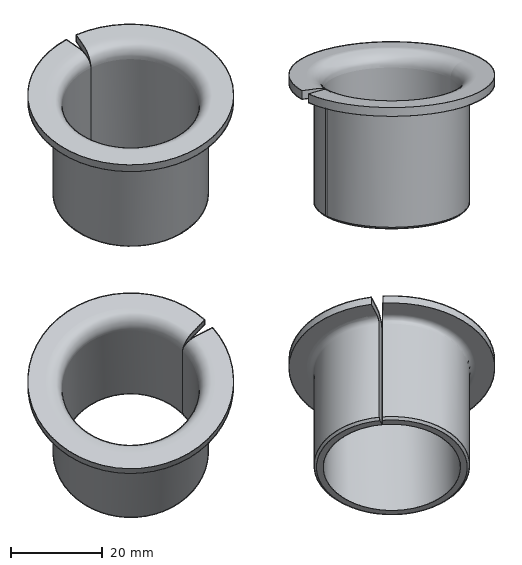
import cadquery as cq

flange_radius = 22.5
height = 30.0
bore_radius = 15.0
wall = 2.02
mouth_radius = 3.5
bottom_chamfer = 0.55

split_root = (-14.95, -0.55)
split_end_x = -22.5
split_upper_y = 0.55
split_lower_y = -2.05
split_overrun = 1.5

body_radius = bore_radius + wall
flange_bottom = height - wall
neck_radius = mouth_radius - wall


def make_flanged_sleeve():
    """Revolve the wall section about Z."""
    section = (
        cq.Workplane("XZ")
        .moveTo(bore_radius, 0)
        .lineTo(body_radius - bottom_chamfer, 0)
        .lineTo(body_radius, bottom_chamfer)
        .lineTo(body_radius, flange_bottom - neck_radius)
        .radiusArc((body_radius + neck_radius, flange_bottom), neck_radius)
        .lineTo(flange_radius, flange_bottom)
        .lineTo(flange_radius, height)
        .lineTo(bore_radius + mouth_radius, height)
        .radiusArc((bore_radius, height - mouth_radius), -mouth_radius)
        .close()
    )
    return section.revolve(360, (0, 0), (0, 1))


def split_edge_end(rim_y):
    """Extend a split edge from the root through its rim point."""
    root_x, root_y = split_root
    return (
        root_x + split_overrun * (split_end_x - root_x),
        root_y + split_overrun * (rim_y - root_y),
    )


def make_split():
    """Full-height wedge that opens outward from the bore."""
    corners = [split_root, split_edge_end(split_upper_y), split_edge_end(split_lower_y)]
    return cq.Workplane("XY").polyline(corners).close().extrude(height)


result = make_flanged_sleeve().cut(make_split())